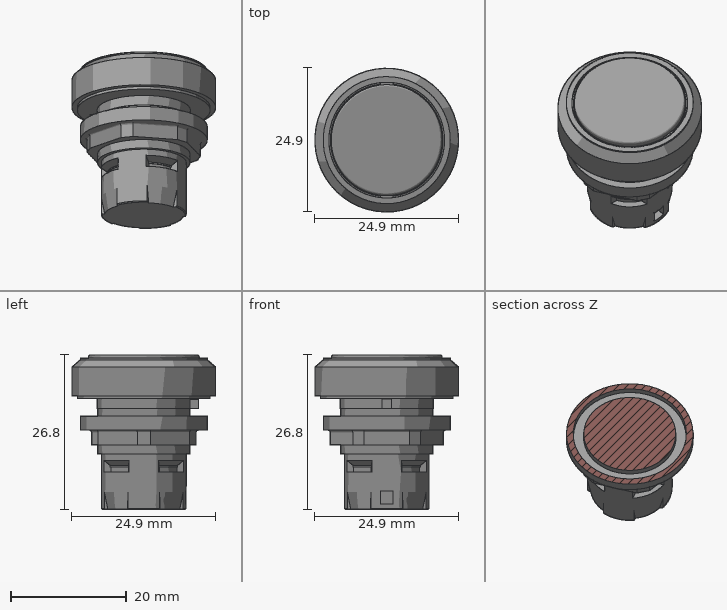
import cadquery as cq
import math

body_top = 9.6
thread_top = 17.45
nut_bottom = 11.15
washer_bottom = 13.72
washer_top = 16.15
flange_bottom = 19.18
bezel_bottom = 19.65
bevel_bottom = 24.65
lip_bottom = 25.9
lip_top = 26.15
button_top = 26.75

core_diameter = 12.1
body_diameter = 14.7
thread_diameter = 16.0
collar_diameter = 16.15
button_diameter = 19.2
gap_step_diameter = 19.5
gap_diameter = 20.04
lip_diameter = 22.0
washer_diameter = lip_diameter
flange_diameter = 23.0
bezel_diameter = 24.9

body_chamfer = 0.2
nut_fillet = 0.45
button_fillet = 0.4

washer_bore_diameter = gap_step_diameter
washer_bore_depth = 1.87

gap_depth = 0.54
gap_step_depth = 0.35
tab_depth = 0.15
tab_width = 2.22

nut_across_flats = 18.08
nut_across_corners = 19.58

key_width = 1.63
key_height = 1.63
key_reach = 9.47

window_bottom = 6.5
window_top = 8.5
window_inner_top = 7.6
window_width = 6.2
window_inner_width = 4.28
window_lip_bottom = 7.35
window_lip_diameter = 12.79
window_floor_diameter = 12.63

notch_height = 2.97
notch_width = 5.78
notch_inner_width = 4.82
notch_floor_diameter = 13.65

pocket_bottom = 0.94
pocket_size = 2.22

cut_margin = 0.27
recess_end_depth = 1.07

corner_angles = (45, 135, 225, 315)


def disc(diameter, bottom, top):
    return cq.Workplane("XY").workplane(offset=bottom).circle(diameter / 2).extrude(top - bottom)


def cone(bottom_diameter, top_diameter, bottom, top):
    return (
        cq.Workplane("XY").workplane(offset=bottom).circle(bottom_diameter / 2)
        .workplane(offset=top - bottom).circle(top_diameter / 2).loft()
    )


def box(x_range, y_range, z_range):
    """Box between the given limits along each axis."""
    lengths = [high - low for low, high in (x_range, y_range, z_range)]
    return (
        cq.Workplane("XY").box(*lengths, centered=False)
        .translate((x_range[0], y_range[0], z_range[0]))
    )


def chord_distance(diameter, width):
    """Distance from the axis to a chord of the given width."""
    return math.sqrt((diameter / 2) ** 2 - (width / 2) ** 2)


def make_nut_and_washer():
    height = washer_bottom - nut_bottom
    base = cq.Workplane("XY").workplane(offset=nut_bottom)
    nut = base.polygon(6, nut_across_flats, circumscribed=True).extrude(height)
    nut = nut.rotate((0, 0, 0), (0, 0, 1), 30)
    corner_trim = base.polygon(6, nut_across_corners, circumscribed=True).extrude(height)
    nut = nut.intersect(corner_trim)
    nut = nut.union(disc(washer_diameter, washer_bottom, washer_top))
    underside_centre = (0, 0, washer_bottom)
    washer_underside = nut.faces(cq.selectors.NearestToPointSelector(underside_centre))
    nut = washer_underside.edges("not %CIRCLE").fillet(nut_fillet)
    return nut.cut(disc(washer_bore_diameter, washer_top - washer_bore_depth, washer_top))


def make_head():
    head = disc(flange_diameter, flange_bottom, bezel_bottom)
    head = head.union(disc(bezel_diameter, bezel_bottom, bevel_bottom))
    head = head.union(cone(bezel_diameter, lip_diameter, bevel_bottom, lip_bottom))
    head = head.union(disc(lip_diameter, lip_bottom, lip_top))
    head = head.cut(disc(gap_diameter, lip_top - gap_depth, lip_top))
    head = head.union(disc(gap_step_diameter, lip_top - gap_depth, lip_top - gap_step_depth))
    tab_half = tab_width / 2
    tabs = disc(gap_diameter, lip_top - gap_depth, lip_top - tab_depth)
    tabs = tabs.intersect(box((-tab_half, tab_half), (-gap_diameter, gap_diameter), (0, button_top)))
    head = head.union(tabs)
    button = disc(button_diameter, lip_top - gap_depth, button_top)
    button = button.faces(">Z").edges().fillet(button_fillet)
    return head.union(button)


def make_key():
    half = key_width / 2
    return box((-half, half), (-key_reach, 0), (thread_top, thread_top + key_height))


def recess_outline(outer_width, inner_width, outer_distance, inner_distance):
    """Outline of a recess that narrows towards the axis, extended past the body along its side slopes."""
    slope = (outer_width - inner_width) / 2 / (outer_distance - inner_distance)
    far = body_diameter / 2 + cut_margin
    near = inner_distance - recess_end_depth
    far_half = outer_width / 2 + slope * (far - outer_distance)
    return [
        (near, -inner_width / 2),
        (inner_distance, -inner_width / 2),
        (far, -far_half),
        (far, far_half),
        (inner_distance, inner_width / 2),
        (near, inner_width / 2),
    ]


def make_window_cutter():
    outer = chord_distance(body_diameter, window_width)
    inner = chord_distance(window_floor_diameter, window_inner_width)
    plan = recess_outline(window_width, window_inner_width, outer, inner)
    cutter = cq.Workplane("XY").workplane(offset=window_bottom).polyline(plan).close()
    cutter = cutter.extrude(window_top - window_bottom)
    roof = cone(window_lip_diameter, body_diameter, window_inner_top, window_top)
    lip = disc(window_lip_diameter, window_lip_bottom, window_inner_top)
    floor = disc(window_floor_diameter, window_bottom, window_lip_bottom)
    return cutter.cut(roof).cut(lip).cut(floor)


def make_notch_cutter():
    outer = chord_distance(body_diameter, notch_width)
    inner = chord_distance(notch_floor_diameter, notch_inner_width)
    plan = recess_outline(notch_width, notch_inner_width, outer, inner)
    cutter = cq.Workplane("XY").polyline(plan).close().extrude(notch_height)
    return cutter.cut(cone(notch_floor_diameter, body_diameter, 0, notch_height))


def make_body():
    body = disc(body_diameter, 0, body_top).faces("<Z").edges().chamfer(body_chamfer)
    for cutter in (make_window_cutter(), make_notch_cutter()):
        for angle in corner_angles:
            body = body.cut(cutter.rotate((0, 0, 0), (0, 0, 1), angle))
    half = pocket_size / 2
    pocket = box((-half, half), (-body_diameter, 0), (pocket_bottom, pocket_bottom + pocket_size))
    return body.cut(pocket.cut(disc(core_diameter, 0, body_top)))


result = make_nut_and_washer()
result = result.union(make_body())
result = result.union(disc(thread_diameter, body_top, thread_top))
result = result.union(disc(collar_diameter, thread_top, flange_bottom))
result = result.union(make_key())
result = result.union(make_head())